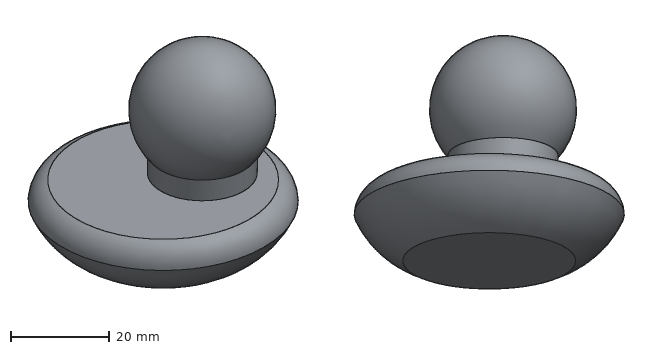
import cadquery as cq

rim_radius = 27.5
rim_height = 10.0
top_radius = 23.5
base_height = 15.0
bottom_radius = 17.6

upper_side_point = (26.4, 13.0)
lower_side_point = (23.4, 4.0)

ball_diameter = 30.0
overall_height = 44.9
neck_diameter = 22.4
offset_y = 8.45
ball_height = overall_height - ball_diameter / 2


def make_base():
    """Revolve the half profile about the Z axis; profile points are (radius, height)."""
    return (
        cq.Workplane("XZ")
        .lineTo(bottom_radius, 0)
        .threePointArc(lower_side_point, (rim_radius, rim_height))
        .threePointArc(upper_side_point, (top_radius, base_height))
        .lineTo(0, base_height)
        .close()
        .revolve(360, (0, 0), (0, 1))
    )


def make_neck():
    """Cylinder from the top of the base up to the ball centre."""
    return (
        cq.Workplane("XY", origin=(0, offset_y, base_height))
        .circle(neck_diameter / 2)
        .extrude(ball_height - base_height)
    )


def make_ball():
    return cq.Workplane("XY", origin=(0, offset_y, ball_height)).sphere(ball_diameter / 2)


result = make_base().union(make_neck()).union(make_ball())